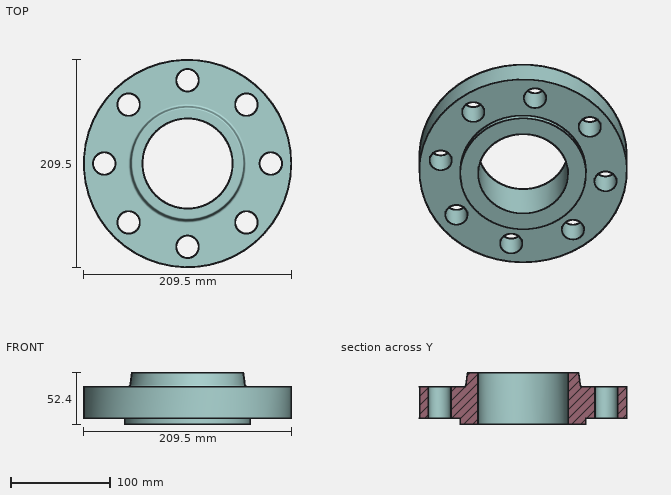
import cadquery as cq
import math

flange_diameter = 209.5
flange_thickness = 31.8

face_diameter = 127.0
face_height = 6.3

total_height = 52.4
hub_base_diameter = 116.5
hub_top_diameter = 112.7
hub_root_fillet = 1.9
hub_rim_fillet = 1.3

bore_diameter = 90.7

bolt_count = 8
bolt_hole_diameter = 22.5
bolt_circle_diameter = 168.0

flange_top = face_height + flange_thickness
hub_height = total_height - flange_top


def disc(diameter, bottom, height):
    """Solid disc on the Z axis, starting at the height `bottom`."""
    return cq.Workplane("XY").workplane(offset=bottom).circle(diameter / 2).extrude(height)


def tapered_hub():
    """Cone frustum standing on the flange, with a rounded top rim."""
    hub = (
        cq.Workplane("XY")
        .workplane(offset=flange_top)
        .circle(hub_base_diameter / 2)
        .workplane(offset=hub_height)
        .circle(hub_top_diameter / 2)
        .loft(ruled=True)
    )
    return hub.faces(">Z").edges().fillet(hub_rim_fillet)


def bolt_holes():
    """Through holes spaced evenly on the bolt circle."""
    return (
        cq.Workplane("XY")
        .polarArray(bolt_circle_diameter / 2, 0, 360, bolt_count)
        .circle(bolt_hole_diameter / 2)
        .extrude(total_height)
    )


def round_hub_root(body):
    """Fillet the corner between the hub and the top of the flange."""
    at_flange_top = body.edges("%CIRCLE").filter(
        lambda edge: math.isclose(edge.Center().z, flange_top)
    )
    hub_root = at_flange_top.edges(cq.selectors.RadiusNthSelector(0))
    return hub_root.fillet(hub_root_fillet)


raised_face = disc(face_diameter, 0, face_height)
flange = disc(flange_diameter, face_height, flange_thickness)
bore = disc(bore_diameter, 0, total_height)

body = raised_face.union(flange).union(tapered_hub())
result = round_hub_root(body).cut(bore).cut(bolt_holes())